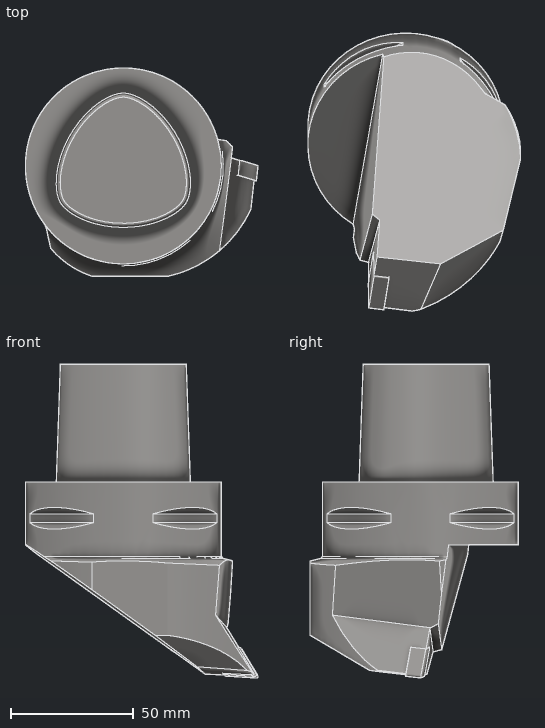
import cadquery as cq
import math

TOTAL_HEIGHT = 128.0
COLLAR_TOP = 80.0
COLLAR_BACK_BOTTOM = 54.3

COLLAR_RADIUS = 80.0 / 2
SLOT_COUNT = 4
SLOT_MID_HEIGHT = 65.2
SLOT_FLOOR_WIDTH = 3.6
SLOT_MOUTH_WIDTH = 8.8
SLOT_DEPTH = 4.5

SHANK_BASE_RADIUS = 27.4
SHANK_TOP_RADIUS = 25.7
SHANK_LOBE = 2.3
SHANK_POINTS = 36

HEAD_FRONT_Y = -45.0
FRONT_FLAT_LEFT = (-12.8, HEAD_FRONT_Y)
FRONT_FLAT_RIGHT = (18.2, HEAD_FRONT_Y)
LEFT_ARC_MID = (-21.9, -40.6)
LEFT_ARC_END = (-29.7, -33.5)
LEFT_INNER_CORNER = (-33.3, -21.8)
RIGHT_ARC_MID = (39.4, -34.4)
RIGHT_ARC_END = (52.1, -17.5)
RIGHT_SIDE_END = (53.8, -2.5)
HEAD_BACK_Y = 23.0
HEAD_CORNER_X = 44.3
HEAD_CORNER_Y = 8.0
SHOULDER_HEIGHT = 49.0
SHOULDER_SLOPE = 0.25
SHOULDER_OUTER_RADIUS = 76.8
SHOULDER_FILLET = 0.8
SHOULDER_FILLET_RADIUS = 0.9

INCLINE_POINT = (-40.0, 0, 54.4)
INCLINE_NORMAL = (-0.72, -0.025, -1)

BACK_POINT = (-34.2, 19.2, 50.2)
RAKE_NORMAL = (0.113, 1, -0.115)

BEVEL_POINT = (12.8, -45.0, 17.4)
BEVEL_NORMAL = (0, -11.2, -19)
BOTTOM_POINT = (50.3, -20.6, 3.1)
BOTTOM_NORMAL = (-0.06, -0.11, -1)

WALL_POINT = (44.0, 3.2, 47.4)
WALL_NORMAL = (1, -0.125, -0.07)
FLANK_POINT = (42.2, 3.2, 20.5)
FLANK_NORMAL = (1.63, -0.06, 1)

INSERT_TIP = (55.5, 0, -0.1)
INSERT_SIDE = 14.1
INSERT_ANGLE = 55.0
INSERT_TILT = 3.5
INSERT_THICKNESS = 6.3
INSERT_NOSE_RADIUS = 0.6

LEDGE_POINT = (19.3, 8.7, 11.5)
LEDGE_NORMAL = (0.48, 0.45, -1)

CUTTER_SIZE = 256.0

rake_plane = cq.Plane(origin=INSERT_TIP, xDir=(-1, RAKE_NORMAL[0], 0), normal=RAKE_NORMAL)


def half_space(point, normal):
    """Large block on the side of a plane to which its normal points."""
    plane = cq.Plane(origin=point, normal=normal)
    return cq.Workplane(plane).rect(CUTTER_SIZE, CUTTER_SIZE).extrude(CUTTER_SIZE)


def shank_point(angle, mean_radius):
    """Point of the lobed outline whose outward normal has the given angle from +Y."""
    reach = mean_radius + SHANK_LOBE * math.cos(3 * angle)
    slide = -3 * SHANK_LOBE * math.sin(3 * angle)
    x = -reach * math.sin(angle) - slide * math.cos(angle)
    y = reach * math.cos(angle) - slide * math.sin(angle)
    return (x, y)


def make_shank():
    angles = [2 * math.pi * i / SHANK_POINTS for i in range(SHANK_POINTS)]
    base = [shank_point(a, SHANK_BASE_RADIUS) for a in angles]
    top = [shank_point(a, SHANK_TOP_RADIUS) for a in angles]
    return (
        cq.Workplane("XY", origin=(0, 0, COLLAR_TOP))
        .spline(base, periodic=True).close()
        .workplane(offset=TOTAL_HEIGHT - COLLAR_TOP)
        .spline(top, periodic=True).close()
        .loft(ruled=True)
    )


def make_slot_cutter(angle):
    """Radial slot with a narrow flat floor, a flared mouth and open ends."""
    floor = COLLAR_RADIUS - SLOT_DEPTH
    half_floor = SLOT_FLOOR_WIDTH / 2
    half_mouth = SLOT_MOUTH_WIDTH / 2
    return (
        cq.Workplane("XZ", origin=(0, COLLAR_RADIUS, SLOT_MID_HEIGHT))
        .polyline([
            (floor, -half_floor),
            (COLLAR_RADIUS, -half_mouth),
            (COLLAR_RADIUS, half_mouth),
            (floor, half_floor),
        ]).close()
        .extrude(2 * COLLAR_RADIUS)
        .rotate((0, 0, 0), (0, 0, 1), angle)
    )


def make_head_blank():
    """Head outline, limited above by a conical shoulder that meets the collar in a fillet."""
    prism = (
        cq.Workplane("XY")
        .moveTo(*FRONT_FLAT_LEFT)
        .lineTo(*FRONT_FLAT_RIGHT)
        .threePointArc(RIGHT_ARC_MID, RIGHT_ARC_END)
        .lineTo(*RIGHT_SIDE_END)
        .lineTo(RIGHT_SIDE_END[0], HEAD_BACK_Y)
        .lineTo(0, HEAD_BACK_Y)
        .lineTo(*LEFT_INNER_CORNER)
        .lineTo(*LEFT_ARC_END)
        .threePointArc(LEFT_ARC_MID, FRONT_FLAT_LEFT)
        .close()
        .extrude(COLLAR_BACK_BOTTOM)
    )
    fillet_radius = COLLAR_RADIUS + SHOULDER_FILLET
    fillet_foot = SHOULDER_HEIGHT - SHOULDER_SLOPE * SHOULDER_FILLET
    outer_drop = SHOULDER_SLOPE * (SHOULDER_OUTER_RADIUS - COLLAR_RADIUS)
    shoulder = (
        cq.Workplane("XZ")
        .lineTo(SHOULDER_OUTER_RADIUS, 0)
        .lineTo(SHOULDER_OUTER_RADIUS, SHOULDER_HEIGHT - outer_drop)
        .lineTo(fillet_radius, fillet_foot)
        .radiusArc((COLLAR_RADIUS, SHOULDER_HEIGHT + SHOULDER_FILLET), SHOULDER_FILLET_RADIUS)
        .lineTo(0, SHOULDER_HEIGHT + SHOULDER_FILLET)
        .close()
        .revolve(360, (0, 0, 0), (0, 1, 0))
    )
    return prism.intersect(shoulder)


def make_back_cutter():
    """Everything behind the back face, below the overhanging part of the collar."""
    below_collar = half_space((0, 0, COLLAR_BACK_BOTTOM), (0, 0, -1))
    return half_space(BACK_POINT, RAKE_NORMAL).intersect(below_collar)


def make_relief_cutter():
    """Wall and flank relief outside the collar, with the bevel on the upper back corner."""
    below_shoulder = half_space((0, 0, SHOULDER_HEIGHT), (0, 0, -1))
    wall = half_space(WALL_POINT, WALL_NORMAL)
    flank = half_space(FLANK_POINT, FLANK_NORMAL)
    corner = half_space((HEAD_CORNER_X, HEAD_CORNER_Y, 0), (1, 1, 0))
    return wall.intersect(flank).intersect(below_shoulder).union(corner.intersect(below_shoulder))


def make_recess_cutter():
    """Step in the back face that drops to the rake plane below a slanting ledge."""
    return half_space(INSERT_TIP, RAKE_NORMAL).intersect(half_space(LEDGE_POINT, LEDGE_NORMAL))


def make_insert():
    low = math.radians(INSERT_TILT)
    high = math.radians(INSERT_TILT + INSERT_ANGLE)
    low_corner = (INSERT_SIDE * math.cos(low), INSERT_SIDE * math.sin(low))
    high_corner = (INSERT_SIDE * math.cos(high), INSERT_SIDE * math.sin(high))
    far_corner = (low_corner[0] + high_corner[0], low_corner[1] + high_corner[1])
    return (
        cq.Workplane(rake_plane)
        .polyline([(0, 0), low_corner, far_corner, high_corner]).close()
        .extrude(-INSERT_THICKNESS)
        .edges(cq.selectors.ParallelDirSelector(cq.Vector(*RAKE_NORMAL)))
        .fillet(INSERT_NOSE_RADIUS)
    )


def make_holder(insert):
    holder = cq.Workplane("XY").circle(COLLAR_RADIUS).extrude(COLLAR_TOP)
    holder = holder.union(make_head_blank())
    holder = holder.cut(half_space(INCLINE_POINT, INCLINE_NORMAL))
    holder = holder.cut(make_back_cutter())
    holder = holder.cut(half_space(BEVEL_POINT, BEVEL_NORMAL))
    holder = holder.cut(half_space(BOTTOM_POINT, BOTTOM_NORMAL))
    holder = holder.cut(make_relief_cutter())
    holder = holder.cut(make_recess_cutter())
    for i in range(SLOT_COUNT):
        holder = holder.cut(make_slot_cutter((i + 0.5) * 360 / SLOT_COUNT))
    return holder.union(make_shank()).cut(insert)


insert = make_insert()
holder = make_holder(insert)
result = cq.Compound.makeCompound([*holder.solids().vals(), *insert.solids().vals()])